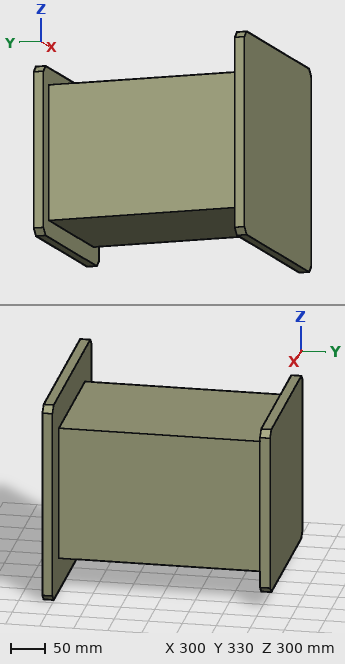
import cadquery as cq

total_length = 330.0
plate_thickness = 15.0
front_plate_side = 300.0
back_plate_side = 250.0
block_side = 200.0
corner_chamfer = 10.0

back_plate_start = total_length - plate_thickness
block_length = back_plate_start - plate_thickness


def square_bar(side, start, length):
    """Square bar centred on the Y axis, running from Y = start."""
    return cq.Workplane("XY").box(side, length, side).translate((0, start + length / 2, 0))


def end_plate(side, start):
    """Square plate across the Y axis with its four corners cut off."""
    return square_bar(side, start, plate_thickness).edges("|Y").chamfer(corner_chamfer)


front_plate = end_plate(front_plate_side, 0)
block = square_bar(block_side, plate_thickness, block_length)
back_plate = end_plate(back_plate_side, back_plate_start)

result = front_plate.union(block).union(back_plate)